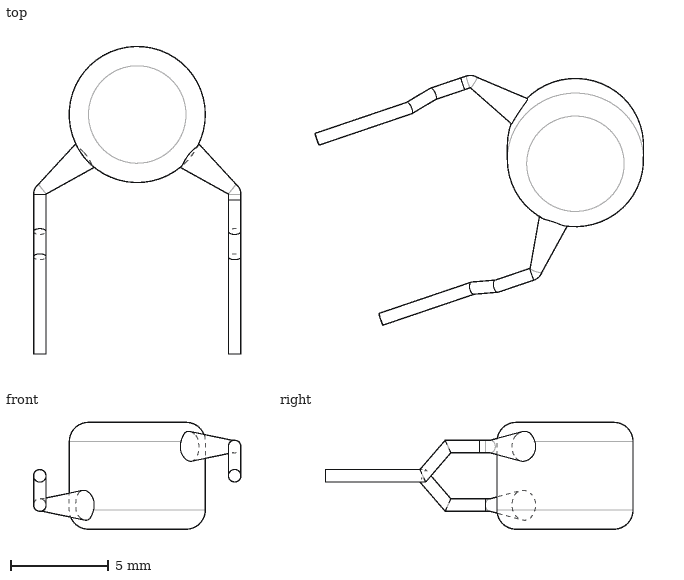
import cadquery as cq
import math

housing_radius = 3.5
housing_height = 5.5
rim_fillet = 1.0

overall_length = 15.8
wire_radius = 0.324
wire_spacing = 10.0
wire_level = 1.5
first_kink_reach = 6.0
second_kink_reach = 7.3
wire_end_reach = overall_length - housing_radius
wire_offset = wire_spacing / 2

sleeve_wall_radius = 0.76
elbow_radius = 0.33
elbow_end_reach = 4.1
right_stub_length = 0.28
left_stub_length = 0.0

pivot_x = wire_offset - elbow_radius
pivot_distance = math.hypot(pivot_x, elbow_end_reach)
cone_tip_distance = math.sqrt(pivot_distance**2 - elbow_radius**2)
cone_angle = math.degrees(
    math.atan2(elbow_end_reach, pivot_x) - math.asin(elbow_radius / pivot_distance)
)
elbow_angle = 90 - cone_angle


def make_housing():
    return (
        cq.Workplane("XY", origin=(0, 0, -housing_height / 2))
        .circle(housing_radius)
        .extrude(housing_height)
        .faces("|Z")
        .edges()
        .fillet(rim_fillet)
    )


def wire_section(reach):
    """Round wire section facing -Y, on the upper right wire."""
    return (
        cq.Workplane("XZ", origin=(wire_offset, -reach, wire_level))
        .circle(wire_radius)
    )


def make_cone(housing):
    """Cone that starts inside the housing, with the housing then cut away from it."""
    start_distance = housing_radius / 2
    length = cone_tip_distance - start_distance
    taper = (sleeve_wall_radius - wire_radius) / (cone_tip_distance - housing_radius)
    start_radius = wire_radius + taper * length
    angle = math.radians(cone_angle)
    outward = cq.Vector(math.cos(angle), -math.sin(angle), 0)
    start = outward * start_distance + cq.Vector(0, 0, wire_level)
    cone = cq.Solid.makeCone(start_radius, wire_radius, length, start, outward)
    return cq.Workplane(cone).cut(housing)


def make_sleeve(housing, stub_length):
    """Upper right sleeve: cone, elbow and, where it has a length, a straight stub."""
    elbow = wire_section(elbow_end_reach).revolve(
        elbow_angle, (-elbow_radius, 0), (-elbow_radius, 1)
    )
    sleeve = make_cone(housing).union(elbow)
    if stub_length > 0:
        sleeve = sleeve.union(wire_section(elbow_end_reach).extrude(stub_length))
    return sleeve


def make_wire(start_reach):
    """Upper right wire, running forward, down to mid-height, and forward again."""
    path = cq.Workplane("YZ", origin=(wire_offset, 0, 0)).polyline(
        [
            (-start_reach, wire_level),
            (-first_kink_reach, wire_level),
            (-second_kink_reach, 0),
            (-wire_end_reach, 0),
        ]
    )
    return wire_section(start_reach).sweep(path, transition="right")


housing = make_housing()
bodies = [housing.solids().val()]
for turn, stub_length in ((0, right_stub_length), (180, left_stub_length)):
    sleeve = make_sleeve(housing, stub_length)
    wire = make_wire(elbow_end_reach + stub_length)
    for body in (sleeve, wire):
        bodies.append(body.rotate((0, 0, 0), (0, 1, 0), turn).solids().val())

result = cq.Compound.makeCompound(bodies)